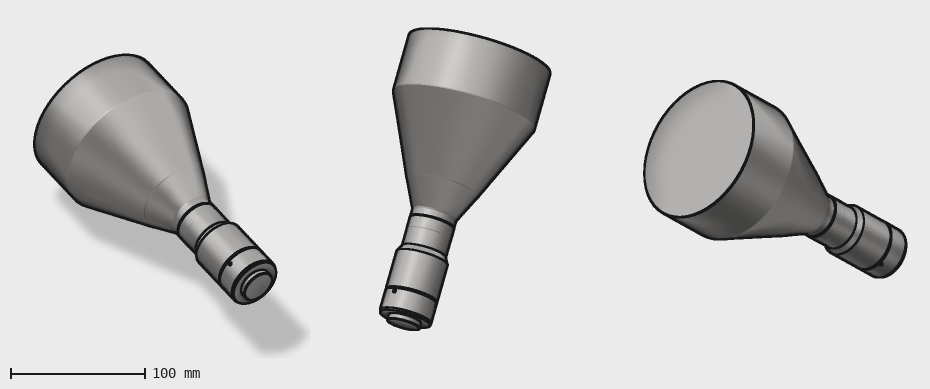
import cadquery as cq
import math

total_length = 215.5
hood_end = 44.2
cone_joint = 105.6
cone_end = 127.6
neck_groove = 134.0
middle_neck_start = 134.5
middle_neck_end = 143.8
neck_end = 157.5
barrel_start = 162.8
barrel_groove = 192.5
barrel_end = 211.0

hood_diameter = 110.0
cone_joint_diameter = 55.8
neck_diameter = 34.3
middle_neck_diameter = 34.5
barrel_diameter = 39.9
mount_diameter = 25.2

front_chamfer = 0.5
hood_edge_length = 0.9
hood_edge_drop = 0.1
cone_joint_edge_length = 0.6
cone_joint_edge_drop = 0.5
neck_groove_depth = 0.6
cone_end_band_length = 1.3
cone_end_band_drop = 0.2
middle_neck_chamfer = 0.6
barrel_groove_width = 1.3
barrel_groove_depth = 3.5
barrel_chamfer_length = 1.7
barrel_chamfer_drop = 0.6
mount_chamfer = 0.5

screw_count = 3
screw_position = 196.2
screw_diameter = 2.2
screw_depth = 1.0
first_screw_angle = 52.0

hood_radius = hood_diameter / 2
cone_joint_radius = cone_joint_diameter / 2
neck_radius = neck_diameter / 2
middle_neck_radius = middle_neck_diameter / 2
barrel_radius = barrel_diameter / 2
mount_radius = mount_diameter / 2


def turned_body():
    """Solid of revolution about the X axis, drawn as (x, radius)."""
    outline = [
        (0, 0),
        (0, hood_radius - front_chamfer),
        (front_chamfer, hood_radius),
        (hood_end, hood_radius),
        (hood_end + hood_edge_length, hood_radius - hood_edge_drop),
        (cone_joint, cone_joint_radius),
        (cone_joint + cone_joint_edge_length, cone_joint_radius - cone_joint_edge_drop),
        (cone_end, neck_radius + cone_end_band_drop),
        (cone_end + cone_end_band_length, neck_radius),
        (neck_groove, neck_radius),
        (neck_groove, neck_radius - neck_groove_depth),
        (middle_neck_start, neck_radius - neck_groove_depth),
        (middle_neck_start, middle_neck_radius),
        (middle_neck_end, middle_neck_radius),
        (middle_neck_end + middle_neck_chamfer, neck_radius),
        (neck_end, neck_radius),
        (barrel_start, barrel_radius),
        (barrel_groove, barrel_radius),
        (barrel_groove, barrel_radius - barrel_groove_depth),
        (barrel_groove + barrel_groove_width, barrel_radius - barrel_groove_depth),
        (barrel_groove + barrel_groove_width, barrel_radius),
        (barrel_end - barrel_chamfer_length, barrel_radius),
        (barrel_end, barrel_radius - barrel_chamfer_drop),
        (barrel_end, mount_radius),
        (total_length - mount_chamfer, mount_radius),
        (total_length, mount_radius - mount_chamfer),
        (total_length, 0),
    ]
    return cq.Workplane("XY").polyline(outline).close().revolve(360, (0, 0, 0), (1, 0, 0))


def screw_hole(angle):
    """Blind radial hole; the angle is measured from -Y towards +Z."""
    outward = cq.Vector(0, -math.cos(math.radians(angle)), math.sin(math.radians(angle)))
    floor_center = cq.Vector(screw_position, 0, 0) + outward * (barrel_radius - screw_depth)
    return cq.Solid.makeCylinder(screw_diameter / 2, 2 * screw_depth, floor_center, outward)


result = turned_body()
for index in range(screw_count):
    result = result.cut(cq.Workplane(screw_hole(first_screw_angle + index * 360 / screw_count)))